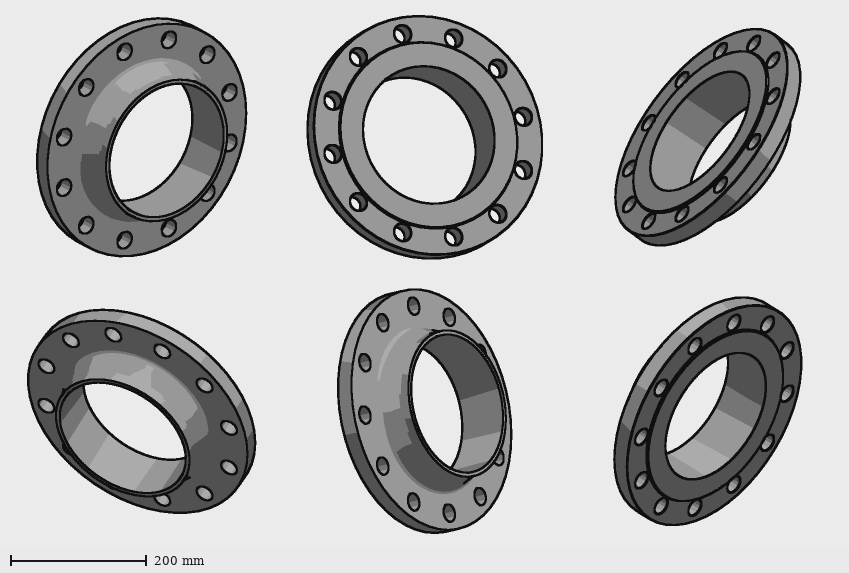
import cadquery as cq

total_length = 80.0
flange_diameter = 360.0
flange_back = 30.0
raised_face_diameter = 278.0
raised_face_base_diameter = 280.8
raised_face_height = 3.0
bore_diameter = 206.5
neck_diameter = 219.2
neck_straight_length = 16.0
hub_base_diameter = 244.0
hub_fillet = 9.0
neck_fillet = 10.0
rim_chamfer = 0.7
bore_chamfer = 0.5

bolt_circle_diameter = 310.0
bolt_hole_diameter = 26.0
bolt_hole_chamfer = 0.7
bolt_count = 12

flange_radius = flange_diameter / 2
raised_face_radius = raised_face_diameter / 2
raised_face_base_radius = raised_face_base_diameter / 2
bore_radius = bore_diameter / 2
neck_radius = neck_diameter / 2
hub_base_radius = hub_base_diameter / 2
neck_start = total_length - neck_straight_length


def revolved_body():
    """Weld-neck profile (axial position, radius) turned about the X axis."""
    profile = (
        cq.Workplane("XY")
        .moveTo(bore_chamfer, bore_radius)
        .lineTo(0, bore_radius + bore_chamfer)
        .lineTo(0, raised_face_radius)
        .lineTo(raised_face_height, raised_face_base_radius)
        .lineTo(raised_face_height, flange_radius - rim_chamfer)
        .lineTo(raised_face_height + rim_chamfer, flange_radius)
        .lineTo(flange_back, flange_radius)
        .lineTo(flange_back, hub_base_radius)
        .lineTo(neck_start, neck_radius)
        .lineTo(total_length, neck_radius)
        .lineTo(total_length, bore_radius)
        .close()
    )
    return profile.revolve(360, (0, 0, 0), (1, 0, 0))


def round_edge_at(body, axial_position, radius, fillet_radius):
    """Fillet the circular edge of this radius at this axial position."""
    match_tolerance = 0.05
    circles = body.edges("%CIRCLE").filter(
        lambda e: abs(e.radius() - radius) < match_tolerance
        and abs(e.Center().x - axial_position) < match_tolerance
    )
    return circles.fillet(fillet_radius)


def bolt_hole_cutter():
    """One bolt hole on the X axis, with a chamfered mouth on the front of the flange."""
    hole_radius = bolt_hole_diameter / 2
    mouth_radius = hole_radius + bolt_hole_chamfer
    profile = (
        cq.Workplane("XY")
        .lineTo(0, mouth_radius)
        .lineTo(raised_face_height, mouth_radius)
        .lineTo(raised_face_height + bolt_hole_chamfer, hole_radius)
        .lineTo(flange_back, hole_radius)
        .lineTo(flange_back, 0)
        .close()
    )
    return profile.revolve(360, (0, 0, 0), (1, 0, 0))


def cut_bolt_holes(body):
    """Cut the ring of bolt holes, which straddle the Y and Z axes."""
    pitch_angle = 360 / bolt_count
    cutter = bolt_hole_cutter().translate((0, bolt_circle_diameter / 2, 0))
    for index in range(bolt_count):
        body = body.cut(cutter.rotate((0, 0, 0), (1, 0, 0), (index + 0.5) * pitch_angle))
    return body


body = revolved_body()
body = round_edge_at(body, flange_back, hub_base_radius, hub_fillet)
body = round_edge_at(body, neck_start, neck_radius, neck_fillet)
result = cut_bolt_holes(body)